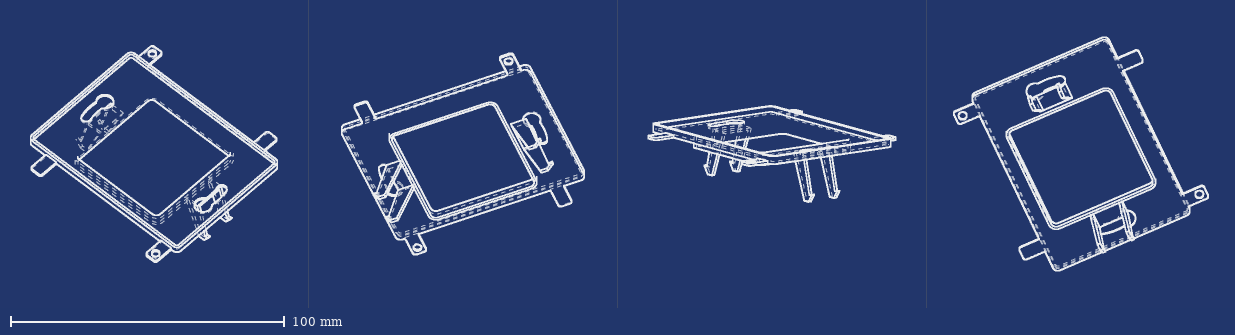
import cadquery as cq
import math

sheet = 1.0
length = 74.5
width = 54.8
rim_height = 3.0
corner_radius = 2.0
neck_size = 42.6
neck_radius = 3.0
neck_depth = 3.8
root_radius = 0.2
lip_radius = sheet
selection_margin = 0.1
opening_size = neck_size - 2 * sheet
opening_radius = neck_radius - sheet

tab_width = 5.2
tab_reach = 35.75
tab_corner_radius = 1.0
holed_tab_x = -31.7
plain_tab_x = 25.8
tab_hole_diameter = 3.0
tab_hole_inset = 2.75

slot_path_radius = 18.6
slot_middle_x = 29.95
slot_half_span = 5.0
slot_width = 3.7
keyhole_diameter = 6.4

clip_width = 12.75
leg_thickness = 1.2
bridge_thickness = 0.9
clip_height = 17.5
clip_inner_x = 21.45
clip_outer_x = 27.65
leg_outer_x = 31.5
barb_root_z = -14.8
barb_tip_x = 33.1
barb_tip_z = -14.45
foot_outer_x = 31.0
foot_inner_x = 28.4


def rounded_block(size_x, size_y, radius, bottom, top):
    block = cq.Workplane("XY").workplane(offset=bottom).rect(size_x, size_y).extrude(top - bottom)
    return block.edges("|Z").fillet(radius)


def half_turn(shape):
    return shape.rotate((0, 0, 0), (0, 0, 1), 180)


def make_disc(center, diameter):
    """A cutter through the floor or a tab."""
    return cq.Workplane("XY").center(*center).circle(diameter / 2).extrude(sheet)


def make_tray():
    tray = rounded_block(length, width, corner_radius, 0, rim_height)
    recess = rounded_block(
        length - 2 * sheet, width - 2 * sheet, corner_radius - sheet, sheet, rim_height
    )
    return tray.cut(recess)


def make_tab(center_x):
    """A tab on the +Y side, starting at the outside of the rim."""
    reach = tab_reach - width / 2
    tab = cq.Workplane("XY").box(tab_width, reach, sheet, centered=(True, False, False))
    tab = tab.edges("|Z and >Y").fillet(tab_corner_radius)
    return tab.translate((center_x, width / 2, 0))


def make_tabs():
    """The holed and the plain tab of the +Y side."""
    hole = make_disc((holed_tab_x, tab_reach - tab_hole_inset), tab_hole_diameter)
    return make_tab(holed_tab_x).cut(hole), make_tab(plain_tab_x)


def make_keyhole():
    """Cutter for the +X side: an arc slot with a round entry at its -Y end."""
    path_center_x = slot_middle_x - slot_path_radius
    half_angle = math.asin(slot_half_span / slot_path_radius)

    def slot_point(radius, angle):
        return path_center_x + radius * math.cos(angle), radius * math.sin(angle)

    outer = slot_path_radius + slot_width / 2
    inner = slot_path_radius - slot_width / 2
    slot = (
        cq.Workplane("XY")
        .moveTo(*slot_point(outer, -half_angle))
        .threePointArc(slot_point(outer, 0), slot_point(outer, half_angle))
        .lineTo(*slot_point(inner, half_angle))
        .threePointArc(slot_point(inner, 0), slot_point(inner, -half_angle))
        .close()
        .extrude(sheet)
    )
    round_end = make_disc(slot_point(slot_path_radius, half_angle), slot_width)
    entry = make_disc(slot_point(slot_path_radius, -half_angle), keyhole_diameter)
    return slot.union(round_end).union(entry)


def neck_edges_at(height):
    """Selects the edges around the neck and its opening that lie at one height."""
    reach = neck_size / 2 + selection_margin
    return cq.selectors.BoxSelector(
        (-reach, -reach, height - selection_margin), (reach, reach, height + selection_margin)
    )


def make_frame():
    frame = make_tray().union(rounded_block(neck_size, neck_size, neck_radius, -neck_depth, 0))
    frame = frame.edges(neck_edges_at(0)).fillet(root_radius)
    for tab in make_tabs():
        frame = frame.union(tab).union(half_turn(tab))
    opening = rounded_block(opening_size, opening_size, opening_radius, -neck_depth, sheet)
    frame = frame.cut(opening)
    keyhole = make_keyhole()
    frame = frame.cut(keyhole).cut(half_turn(keyhole))
    return frame.edges(neck_edges_at(sheet)).fillet(lip_radius)


def make_clip():
    """The +X clip: two hooked legs joined by a bridge against the floor."""
    profile = [
        (clip_inner_x, 0),
        (clip_outer_x, 0),
        (leg_outer_x, barb_root_z),
        (barb_tip_x, barb_tip_z),
        (foot_outer_x, -clip_height),
        (foot_inner_x, -clip_height),
    ]
    clip = cq.Workplane("XZ").polyline(profile).close().extrude(clip_width / 2, both=True)
    gap = cq.Workplane("XY").box(
        2 * (barb_tip_x - clip_inner_x),
        clip_width - 2 * leg_thickness,
        clip_height - bridge_thickness,
        centered=(True, True, False),
    )
    return clip.cut(gap.translate((clip_outer_x, 0, -clip_height)))


frame = make_frame()
clip = make_clip().cut(frame)
clips = [clip, half_turn(clip)]

result = cq.Compound.makeCompound([frame.val(), *(body.val() for body in clips)])